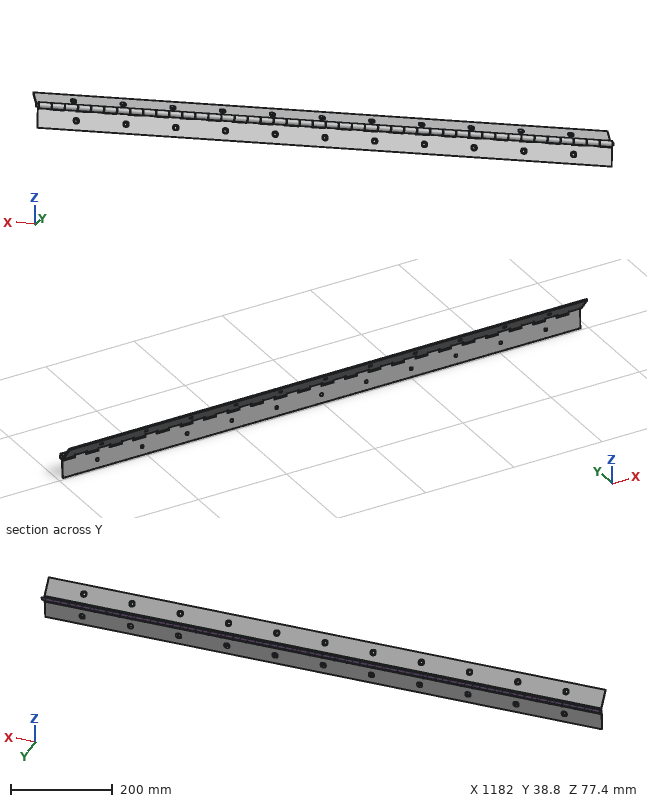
import cadquery as cq

pin_length = 1182.0
pin_diameter = 6.4
sheet_thickness = 3.2
open_width = 89.0
upper_leaf_tilt = 37.9
lower_leaf_tilt = 2.9

leaf_length = 1174.0
upper_leaf_start = 4.1
lower_leaf_start = 2.0

knuckles_per_leaf = 22
knuckle_gap = 1.0

hole_count = 11
hole_pitch = 102.0
hole_edge_distance = 19.0
hole_diameter = 6.4
countersink_diameter = 12.0
countersink_depth = 2.0

leaf_width = open_width / 2
pin_radius = pin_diameter / 2
knuckle_radius = pin_radius + sheet_thickness
notch_depth = knuckle_radius
knuckle_count = 2 * knuckles_per_leaf
barrel_start = upper_leaf_start
barrel_end = lower_leaf_start + leaf_length
knuckle_pitch = (barrel_end - barrel_start + knuckle_gap) / knuckle_count
knuckle_length = knuckle_pitch - knuckle_gap
hole_margin = (leaf_length - (hole_count - 1) * hole_pitch) / 2


def make_pin():
    """Round pin with a hemispherical dome on each end."""
    half_profile = (
        cq.Workplane("XY")
        .moveTo(0, 0)
        .radiusArc((pin_radius, pin_radius), pin_radius)
        .lineTo(pin_length - pin_radius, pin_radius)
        .radiusArc((pin_length, 0), pin_radius)
        .close()
    )
    return half_profile.revolve(360, (0, 0, 0), (1, 0, 0))


def make_knuckle(start):
    """Barrel section around the axis with the strip of sheet that joins it to the leaf above."""
    barrel = cq.Workplane("YZ").circle(knuckle_radius).extrude(knuckle_length)
    strip = cq.Workplane("XY").box(knuckle_length, sheet_thickness, notch_depth, centered=False)
    bore = cq.Workplane("YZ").circle(pin_radius).extrude(knuckle_length)
    knuckle = barrel.union(strip.translate((0, -knuckle_radius, 0))).cut(bore)
    return knuckle.translate((start, 0, 0))


def make_hole_cutter(x):
    """Countersunk screw hole, widest on the face of the sheet nearest the pin."""
    profile = [
        (0, -pin_radius),
        (countersink_diameter / 2, -pin_radius),
        (hole_diameter / 2, -pin_radius - countersink_depth),
        (hole_diameter / 2, -knuckle_radius),
        (0, -knuckle_radius),
    ]
    cutter = cq.Workplane("XY").polyline(profile).close().revolve(360, (0, 0, 0), (0, 1, 0))
    return cutter.translate((x, 0, leaf_width - hole_edge_distance))


def make_leaf(leaf_start, first_knuckle):
    """Leaf standing straight up, its plate on the -Y side of the barrel."""
    plate_height = leaf_width - notch_depth
    leaf = cq.Workplane("XY").box(leaf_length, sheet_thickness, plate_height, centered=False)
    leaf = leaf.translate((leaf_start, -knuckle_radius, notch_depth))
    for index in range(first_knuckle, knuckle_count, 2):
        leaf = leaf.union(make_knuckle(barrel_start + index * knuckle_pitch))
    for index in range(hole_count):
        leaf = leaf.cut(make_hole_cutter(leaf_start + hole_margin + index * hole_pitch))
    return leaf


upper_leaf = make_leaf(upper_leaf_start, 0).rotate((0, 0, 0), (1, 0, 0), upper_leaf_tilt)
lower_leaf = make_leaf(lower_leaf_start, 1).mirror("XY").rotate((0, 0, 0), (1, 0, 0), -lower_leaf_tilt)
pin = make_pin()

result = cq.Compound.makeCompound([upper_leaf.solids().val(), lower_leaf.solids().val(), pin.val()])